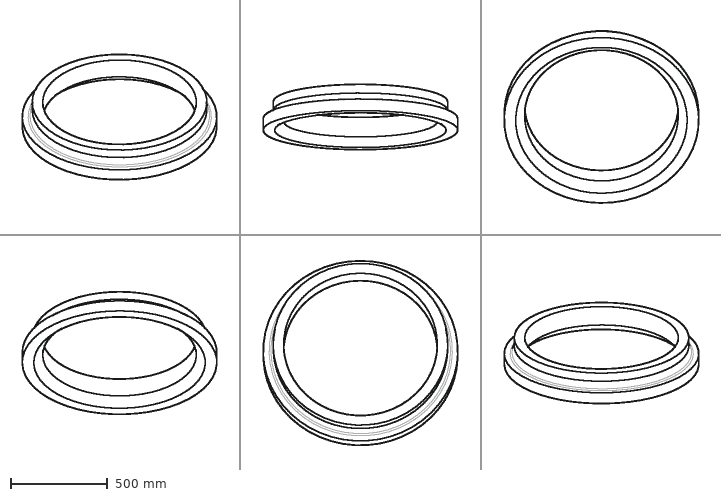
import cadquery as cq

flange_diameter = 1005.0
flange_height = 61.0
total_height = 150.0
bore_diameter = 793.0
bore_bevel = 46.0
neck_diameter = 901.0
neck_height = 46.0
hub_diameter = 932.0
root_fillet = 10.0

flange_radius = flange_diameter / 2
bore_radius = bore_diameter / 2
neck_radius = neck_diameter / 2
hub_radius = hub_diameter / 2
taper_top = total_height - neck_height


def ring_profile():
    """Half section: flange, tapered hub, straight neck and a bore with a 45 degree bevel at the bottom."""
    return (
        cq.Workplane("XZ")
        .moveTo(bore_radius + bore_bevel, 0)
        .lineTo(flange_radius, 0)
        .lineTo(flange_radius, flange_height)
        .lineTo(hub_radius, flange_height)
        .lineTo(neck_radius, taper_top)
        .lineTo(neck_radius, total_height)
        .lineTo(bore_radius, total_height)
        .lineTo(bore_radius, bore_bevel)
        .close()
    )


def hub_root_edge(body):
    """Circular edge where the tapered hub meets the top of the flange."""
    return body.edges(cq.selectors.RadiusNthSelector(-2))


ring = ring_profile().revolve(360, (0, 0, 0), (0, 1, 0))

result = hub_root_edge(ring).fillet(root_fillet)